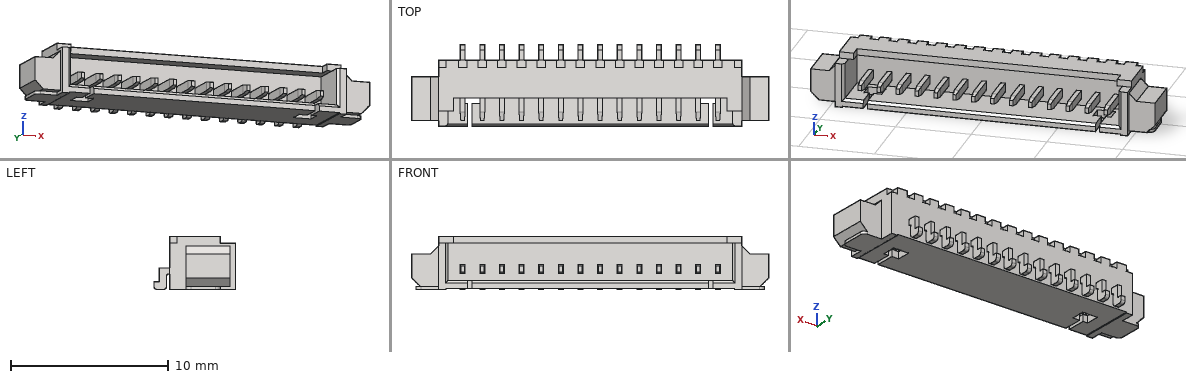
import cadquery as cq

total_length = 22.75
total_height = 3.4
pin_count = 14
pin_row_length = 16.25
pin_pitch = pin_row_length / (pin_count - 1)

housing_length = 19.31
housing_depth = 4.2
wall_top = 2.95
foot_width = 0.48
foot_height = 0.07
cavity_length = 18.09
cavity_back = 2.95
floor_top = 0.6
mouth_bevel_width = 0.18
mouth_bevel_depth = 0.15

roof_front = 0.98
roof_cutout_length = 17.4
roof_cutout_back = 1.8
notch_depth = 0.48
pin_notch_width = 0.55
corner_notch_width = 0.48

slot_width = 0.27
slot_offset = 7.67
slot_back = 1.45
window_length = 1.18
window_offset = 7.58
window_back = 2.48

wing_front = 0.36
wing_back = 3.16
wing_bottom = 0.2
wing_top = 2.28
wing_ramp = 0.5
wing_chamfer = 0.55

clip_length = 22.2
clip_front = 0.98
clip_corner_radius = 0.32

pin_width = 0.32
contact_bottom = 1.02
contact_top = 1.6
tip_end = 0.36
tip_start = 0.9
tip_width = 0.23
tip_height = 0.36
tail_back = 5.2
tail_bottom = 0.98
tail_top = 1.39
leg_front = 4.4
leg_back = 4.87
solder_foot_height = 0.5
solder_foot_radius = 0.2
tail_bend_radius = 0.11

pin_positions = [i * pin_pitch - pin_row_length / 2 for i in range(pin_count)]


def block(x_min, x_max, y_min, y_max, z_min, z_max):
    """Box between the given limits."""
    size = (x_max - x_min, y_max - y_min, z_max - z_min)
    return cq.Workplane("XY").box(*size, centered=False).translate((x_min, y_min, z_min))


def centered_block(length, y_min, y_max, z_min, z_max):
    """Box symmetric about X = 0."""
    return block(-length / 2, length / 2, y_min, y_max, z_min, z_max)


def mirrored(shape):
    """The shape together with its mirror image across X = 0."""
    return shape.union(shape.mirror("YZ"))


def make_cavity():
    """Open-topped cavity, closed above only by the roof, with a beveled mouth."""
    cavity = centered_block(cavity_length, 0, cavity_back, floor_top, wall_top)
    mouth_length = cavity_length + 2 * mouth_bevel_width
    mouth_bottom = floor_top - mouth_bevel_width
    mouth = (
        cq.Workplane("XZ")
        .center(0, (mouth_bottom + wall_top) / 2)
        .rect(mouth_length, wall_top - mouth_bottom)
        .workplane(offset=-mouth_bevel_depth)
        .center(0, mouth_bevel_width / 2)
        .rect(cavity_length, wall_top - floor_top)
        .loft(ruled=True)
    )
    return cavity.union(mouth)


def make_roof():
    """Top plate with a wide front cutout and notches along its rear edge."""
    roof = centered_block(housing_length, roof_front, housing_depth, wall_top, total_height)
    roof = roof.cut(
        centered_block(roof_cutout_length, roof_front, roof_cutout_back, wall_top, total_height)
    )
    notch_front = housing_depth - notch_depth
    pin_notch = centered_block(pin_notch_width, notch_front, housing_depth, wall_top, total_height)
    for x in pin_positions:
        roof = roof.cut(pin_notch.translate((x, 0, 0)))
    corner_notch = block(
        housing_length / 2 - corner_notch_width, housing_length / 2,
        notch_front, housing_depth, wall_top, total_height,
    )
    return roof.cut(mirrored(corner_notch))


def make_floor_openings():
    """Narrow slots from the mating face, each ending in a wider window under the cavity."""
    slot = centered_block(slot_width, 0, slot_back, 0, floor_top)
    window = centered_block(window_length, slot_back, window_back, 0, floor_top)
    openings = slot.translate((slot_offset, 0, 0)).union(window.translate((window_offset, 0, 0)))
    return mirrored(openings)


def make_housing():
    """Shell with two side feet, cavity, floor openings and roof."""
    shell = centered_block(housing_length, 0, housing_depth, 0, wall_top)
    underside_length = housing_length - 2 * foot_width
    shell = shell.cut(centered_block(underside_length, 0, housing_depth, 0, foot_height))
    return shell.cut(make_cavity()).cut(make_floor_openings()).union(make_roof())


def make_wing():
    """Right side wing with a ramp up to the wall and a chamfered lower edge."""
    wall_x = housing_length / 2
    outer_x = total_length / 2
    return (
        cq.Workplane("XZ", origin=(0, wing_front, 0))
        .moveTo(wall_x, wing_bottom)
        .lineTo(outer_x - wing_chamfer, wing_bottom)
        .lineTo(outer_x, wing_bottom + wing_chamfer)
        .lineTo(outer_x, wing_top)
        .lineTo(wall_x + wing_ramp, wing_top)
        .lineTo(wall_x, wing_top + wing_ramp)
        .close()
        .extrude(wing_front - wing_back)
    )


def make_clip():
    """Right solder clip, a flat plate with rounded outer corners."""
    clip = block(housing_length / 2, clip_length / 2, clip_front, wing_back, 0, wing_bottom)
    return clip.edges("|Z and >X").fillet(clip_corner_radius)


def make_pin():
    """Pin at X = 0: tapered contact in the cavity and a bent solder tail behind."""
    contact_middle = (contact_bottom + contact_top) / 2
    contact = centered_block(pin_width, tip_start, cavity_back, contact_bottom, contact_top)
    tip = (
        cq.Workplane("XZ", origin=(0, tip_start, contact_middle))
        .rect(pin_width, contact_top - contact_bottom)
        .workplane(offset=tip_start - tip_end)
        .rect(tip_width, tip_height)
        .loft(ruled=True)
    )
    tail = (
        cq.Workplane("YZ", origin=(-pin_width / 2, 0, 0))
        .moveTo(housing_depth, tail_top)
        .lineTo(leg_back, tail_top)
        .lineTo(leg_back, solder_foot_height)
        .lineTo(tail_back, solder_foot_height)
        .lineTo(tail_back, 0)
        .lineTo(leg_front, 0)
        .lineTo(leg_front, tail_bottom - tail_bend_radius)
        .radiusArc((leg_front - tail_bend_radius, tail_bottom), -tail_bend_radius)
        .lineTo(housing_depth, tail_bottom)
        .close()
        .extrude(pin_width)
        .edges("|X and <Z")
        .fillet(solder_foot_radius)
    )
    return contact.union(tip).union(tail)


result = make_housing().union(mirrored(make_wing().union(make_clip())))
pin = make_pin()
for pin_x in pin_positions:
    result = result.union(pin.translate((pin_x, 0, 0)))